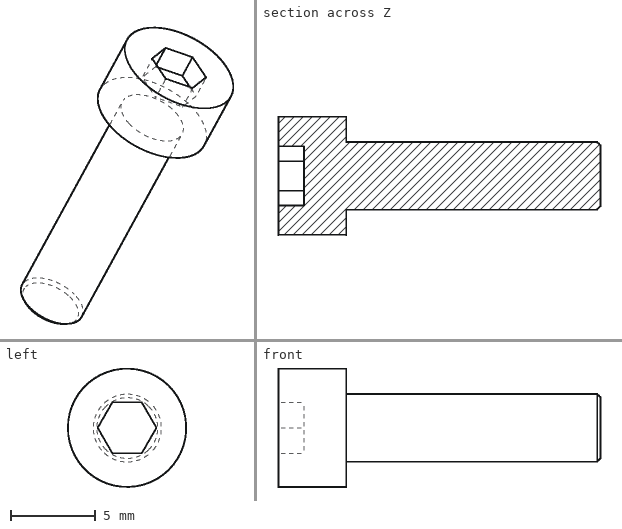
import cadquery as cq
import math

total_length = 19.0
head_diameter = 7.0
shank_diameter = 4.0
head_height = shank_diameter
tip_chamfer = 0.2
socket_across_flats = 3.0
socket_depth = 1.5

head_face_x = -total_length / 2
shank_length = total_length - head_height
socket_across_corners = socket_across_flats / math.cos(math.pi / 6)

head_face = cq.Workplane("YZ", origin=(head_face_x, 0, 0))

head = head_face.circle(head_diameter / 2).extrude(head_height)

shank = (
    head_face.workplane(offset=head_height)
    .circle(shank_diameter / 2)
    .extrude(shank_length)
    .faces(">X")
    .chamfer(tip_chamfer)
)

socket = head_face.polygon(6, socket_across_corners).extrude(socket_depth)

result = head.union(shank).cut(socket)